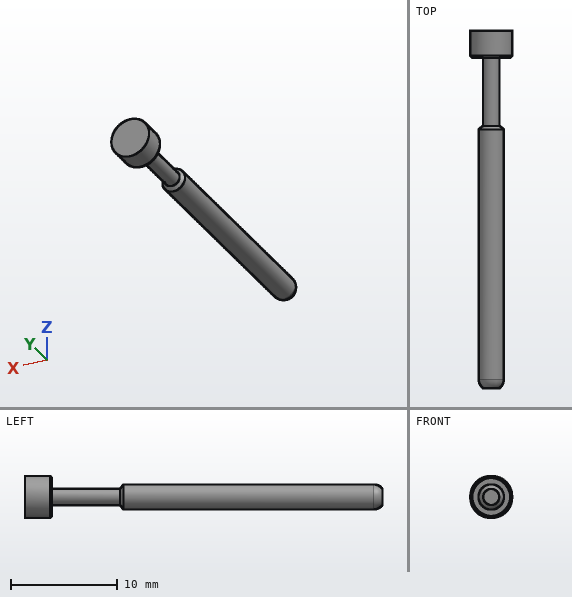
import cadquery as cq
import math

length = 33.6
head_radius = 3.95 / 2
neck_radius = 1.58 / 2
body_radius = 2.4 / 2
tip_flat_radius = 1.5 / 2

head_length = 2.55
head_chamfer = 0.2
neck_length = 6.4
shoulder_length = 0.35
tip_length = 0.85

head_face = length / 2
head_underside = head_face - head_length
shoulder_start = head_underside - neck_length
body_start = shoulder_start - shoulder_length
tip_end = -length / 2
tip_start = tip_end + tip_length

tip_drop = body_radius - tip_flat_radius
tip_arc_radius = (tip_length**2 + tip_drop**2) / (2 * tip_drop)
half_sweep = math.asin(tip_length / tip_arc_radius) / 2
tip_arc_middle = (
    body_radius - tip_arc_radius * (1 - math.cos(half_sweep)),
    tip_start - tip_arc_radius * math.sin(half_sweep),
)

profile = (
    cq.Workplane("XY")
    .moveTo(0, head_face)
    .lineTo(head_radius, head_face)
    .lineTo(head_radius, head_underside + head_chamfer)
    .lineTo(head_radius - head_chamfer, head_underside)
    .lineTo(neck_radius, head_underside)
    .lineTo(neck_radius, shoulder_start)
    .lineTo(body_radius, body_start)
    .lineTo(body_radius, tip_start)
    .threePointArc(tip_arc_middle, (tip_flat_radius, tip_end))
    .lineTo(0, tip_end)
    .close()
)

result = profile.revolve(360, (0, 0, 0), (0, 1, 0))